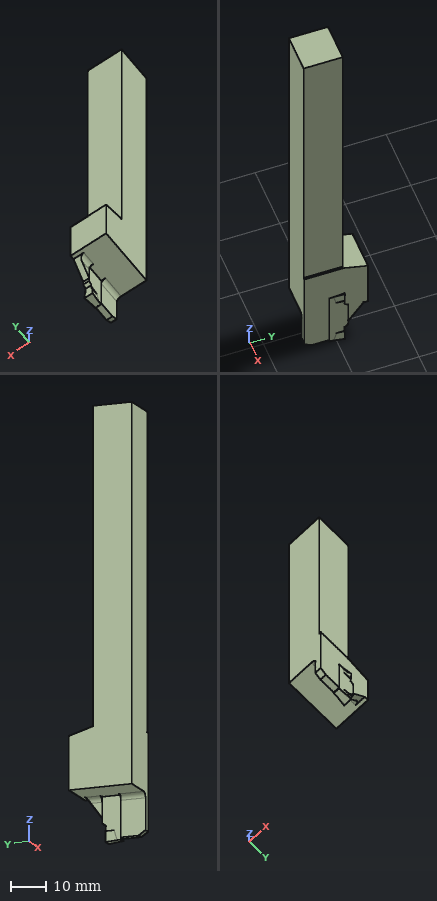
import cadquery as cq

total_height = 126.4
shank_side = 12.0
head_width = 12.6
head_depth = 19.5
head_bottom = 13.5
head_top_front = 31.7
head_top_back = 29.6

blade_thickness = 2.1
blade_bottom = 1.0
blade_chamfer_width = 2.1
blade_chamfer_height = 1.4
blade_root_radius = 1.5
jaw_back = 18.1
jaw_tip_height = 7.2

insert_length = 20.2
insert_front = 7.6
insert_back = 13.4
tip_back = 12.3
tip_front_root = 9.7
tip_front_edge = 8.7
tip_height = 3.3
shoulder_start = 4.8
shoulder_end = 5.7
tip_overhang = 0.4
end_relief = 0.4

blade_left = head_width - blade_thickness


def extrude_along_x(points, x_start, width):
    """Extrude a closed outline of (Y, Z) points along +X."""
    return cq.Workplane("YZ").workplane(offset=x_start).polyline(points).close().extrude(width)


def tip_section(height, front, overhang):
    """Horizontal trapezoid, widest at the back and flush with the insert at the front."""
    blade_right = blade_left + blade_thickness
    points = [
        (blade_left - overhang, tip_back),
        (blade_right + overhang, tip_back),
        (blade_right, front),
        (blade_left, front),
    ]
    return cq.Wire.makePolygon([cq.Vector(x, y, height) for x, y in points], close=True)


def make_wide_tip():
    """Flared cutting tip that narrows away from its cutting edge, with a relieved end face."""
    flare = cq.Solid.makeLoft(
        [
            tip_section(0, tip_front_edge, tip_overhang),
            tip_section(tip_height, tip_front_root, tip_overhang / 2),
        ],
        True,
    )
    relief = extrude_along_x(
        [(tip_back, 0), (insert_front, 0), (insert_front, end_relief)], 0, head_width + tip_overhang
    )
    return cq.Workplane(flare).cut(relief)


def make_insert():
    half_length = insert_length / 2
    lower_half = extrude_along_x(
        [
            (insert_front, end_relief),
            (tip_back, 0),
            (tip_back, shoulder_start),
            (insert_back, shoulder_end),
            (insert_back, half_length),
            (insert_front, half_length),
        ],
        blade_left,
        blade_thickness,
    )
    lower_half = lower_half.union(make_wide_tip())
    upper_half = lower_half.mirror("XY", (0, 0, half_length))
    return lower_half.union(upper_half)


def make_shank():
    height = total_height - head_bottom
    return cq.Workplane("XY", origin=(0, 0, head_bottom)).box(
        shank_side, shank_side, height, centered=False
    )


def make_head():
    return extrude_along_x(
        [
            (0, head_bottom),
            (head_depth, head_bottom),
            (head_depth, head_top_back),
            (shank_side, head_top_front),
            (0, head_top_front),
        ],
        0,
        head_width,
    )


def blade_outline_prism(x_start, width):
    return extrude_along_x(
        [
            (0, head_bottom),
            (jaw_back, head_bottom),
            (insert_back, jaw_tip_height),
            (insert_front, jaw_tip_height),
            (insert_front, blade_bottom),
            (blade_chamfer_width, blade_bottom),
            (0, blade_bottom + blade_chamfer_height),
        ],
        x_start,
        width,
    )


def make_root_fillet():
    radius = blade_root_radius
    corner_block = blade_outline_prism(blade_left - radius, radius).intersect(
        cq.Workplane("XY", origin=(blade_left - radius, 0, head_bottom - radius)).box(
            radius, head_depth, radius, centered=False
        )
    )
    hollow = (
        cq.Workplane("XZ", origin=(blade_left - radius, 0, head_bottom - radius))
        .circle(radius)
        .extrude(-head_depth)
    )
    return corner_block.cut(hollow)


def make_insert_relief():
    """Clear the root fillet in front of the insert's side face."""
    return cq.Workplane("XY", origin=(blade_left - blade_root_radius, insert_front, 0)).box(
        blade_root_radius, insert_back - insert_front, head_bottom, centered=False
    )


def make_holder(insert):
    blade = blade_outline_prism(blade_left, blade_thickness)
    holder = make_shank().union(make_head()).union(blade).union(make_root_fillet())
    return holder.cut(make_insert_relief()).cut(insert)


insert = make_insert()
holder = make_holder(insert)

result = cq.Compound.makeCompound([holder.val(), insert.val()])